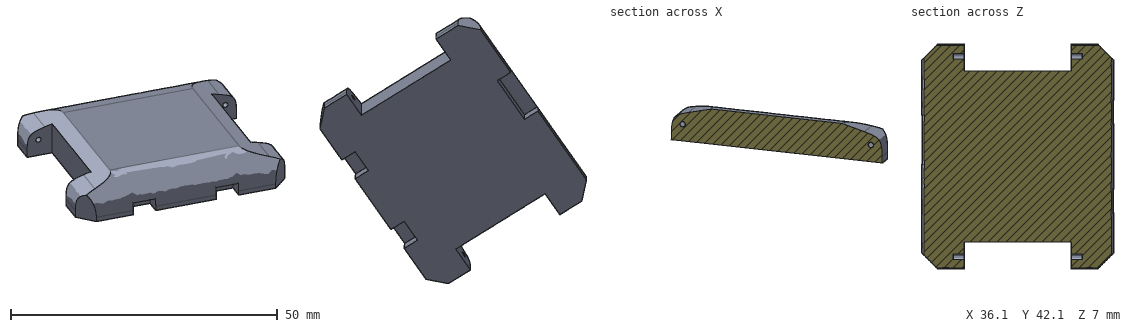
import cadquery as cq

WIDTH = 36.05
LENGTH = 42.1
HEIGHT = 7.0
HALF_WIDTH = WIDTH / 2
HALF_LENGTH = LENGTH / 2

FLAT_HALF_WIDTH = 12.0
FLAT_HALF_LENGTH = 13.0

SIDE_WALL = 0.93
SIDE_FULLNESS = 0.63

END_WALL = 1.4
END_SLOPE = 0.255
SLOPE_FOOT_Y = 17.5
SLOPE_FOOT_Z = HEIGHT - END_SLOPE * (SLOPE_FOOT_Y - FLAT_HALF_LENGTH)
END_FULLNESS = 0.88

CORNER_CUT = 3.05
LUG_GAP = 20.05
LUG_LENGTH = 5.0

PIN_HOLE_DIAMETER = 1.0
PIN_HOLE_DEPTH = 2.02
PIN_HOLE_TO_LUG_TIP = 2.27
PIN_HOLE_Z = 3.33

OPENING_HEIGHT = 2.45
OPENING_DEPTH = 3.0
PORT_WIDTH = 9.25
PORT_Y = 3.15
BUTTON_WIDTH = 4.5
BUTTON_OFFSET_Y = 8.35


def toward(start, corner, fullness):
    """Point the given fraction of the way from start to corner."""
    return tuple(s + fullness * (c - s) for s, c in zip(start, corner))


def blend(sketch, start, corner, end, fullness):
    """Smooth curve from start to end, tangent at both to the lines through corner."""
    handles = [toward(start, corner, fullness), toward(end, corner, fullness)]
    return sketch.bezier([start, *handles, end])


def side_section():
    """Cross-section in XZ, extruded over the whole length."""
    plane = cq.Workplane("XZ", origin=(0, HALF_LENGTH, 0))
    half = plane.lineTo(HALF_WIDTH, 0).lineTo(HALF_WIDTH, SIDE_WALL)
    half = blend(
        half,
        (HALF_WIDTH, SIDE_WALL),
        (HALF_WIDTH, HEIGHT),
        (FLAT_HALF_WIDTH, HEIGHT),
        SIDE_FULLNESS,
    )
    return half.lineTo(0, HEIGHT).mirrorY().extrude(LENGTH)


def end_section():
    """Lengthwise section in YZ, extruded over the whole width."""
    corner_z = SLOPE_FOOT_Z - END_SLOPE * (HALF_LENGTH - SLOPE_FOOT_Y)
    plane = cq.Workplane("YZ", origin=(-HALF_WIDTH, 0, 0))
    half = plane.lineTo(HALF_LENGTH, 0).lineTo(HALF_LENGTH, END_WALL)
    half = blend(
        half,
        (HALF_LENGTH, END_WALL),
        (HALF_LENGTH, corner_z),
        (SLOPE_FOOT_Y, SLOPE_FOOT_Z),
        END_FULLNESS,
    )
    half = half.lineTo(FLAT_HALF_LENGTH, HEIGHT).lineTo(0, HEIGHT)
    return half.mirrorY().extrude(WIDTH)


def cut_plan():
    """Upright block with its four vertical corners cut off."""
    block = cq.Workplane("XY").box(WIDTH, LENGTH, HEIGHT, centered=(True, True, False))
    return block.edges("|Z").chamfer(CORNER_CUT)


def lug_gap(end):
    """Block between the two lugs at one end (end is -1 or 1 along Y)."""
    gap = cq.Workplane("XY").box(LUG_GAP, LUG_LENGTH, HEIGHT, centered=(True, True, False))
    return gap.translate((0, end * (HALF_LENGTH - LUG_LENGTH / 2), 0))


def pin_holes(end):
    """One cylinder that reaches into both lugs at one end."""
    reach = LUG_GAP / 2 + PIN_HOLE_DEPTH
    centre_y = end * (HALF_LENGTH - PIN_HOLE_TO_LUG_TIP)
    plane = cq.Workplane("YZ").center(centre_y, PIN_HOLE_Z)
    return plane.circle(PIN_HOLE_DIAMETER / 2).extrude(reach, both=True)


def side_opening(side, centre_y, width):
    """Block that opens one long side at the bottom (side is -1 or 1 along X)."""
    block = cq.Workplane("XY").box(
        OPENING_DEPTH, width, OPENING_HEIGHT, centered=(True, True, False)
    )
    return block.translate((side * (HALF_WIDTH - OPENING_DEPTH / 2), centre_y, 0))


result = side_section().intersect(end_section()).intersect(cut_plan())

for end in (-1, 1):
    result = result.cut(lug_gap(end)).cut(pin_holes(end))

result = result.cut(side_opening(-1, PORT_Y, PORT_WIDTH))
for direction in (-1, 1):
    result = result.cut(side_opening(1, direction * BUTTON_OFFSET_Y, BUTTON_WIDTH))